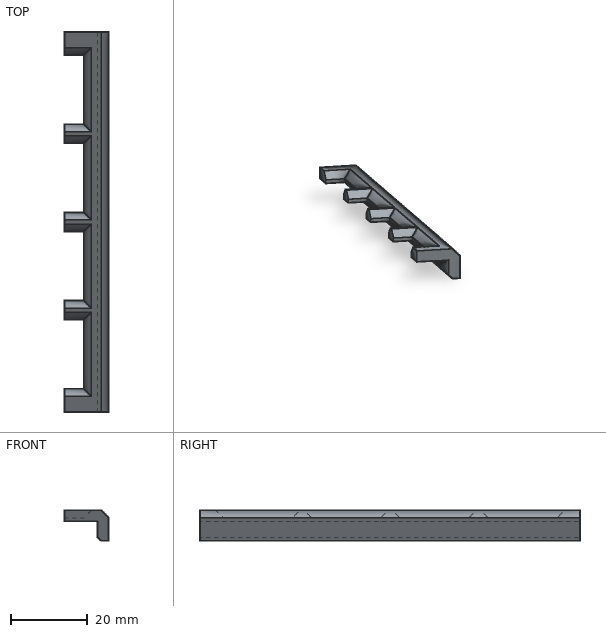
import cadquery as cq

length = 99.2
width = 11.6
height = 8.0

wall = 3.0
outer_chamfer = 2.0
foot_chamfer = 1.0

window_count = 4
window_length = 18.0
window_depth = 5.1
prong_width = 5.1
bevel = 2.0

left = -width / 2
right = width / 2
bottom = -height / 2
top = height / 2
leg_inner = right - wall
flange_underside = top - wall
flare_bottom = top - bevel
window_pitch = window_length + prong_width


def angle_bar():
    """Chamfered L-shaped bar running the full length along Y."""
    outline = [
        (left, top),
        (right - outer_chamfer, top),
        (right, top - outer_chamfer),
        (right, bottom),
        (leg_inner + foot_chamfer, bottom),
        (leg_inner, bottom + foot_chamfer),
        (leg_inner, flange_underside),
        (left, flange_underside),
    ]
    return cq.Workplane("XZ").polyline(outline).close().extrude(length / 2, both=True)


def window_cutter(center_y):
    """Straight opening with a flare that widens towards the top of the flange."""
    straight = (
        cq.Workplane("XY", origin=(left + window_depth / 2, center_y, flange_underside))
        .rect(window_depth, window_length)
        .extrude(wall)
    )
    side = [
        (left, flare_bottom),
        (left + window_depth, flare_bottom),
        (left + window_depth + bevel, top),
        (left, top),
    ]
    end = [
        (center_y - window_length / 2, flare_bottom),
        (center_y + window_length / 2, flare_bottom),
        (center_y + window_length / 2 + bevel, top),
        (center_y - window_length / 2 - bevel, top),
    ]
    side_prism = cq.Workplane("XZ").polyline(side).close().extrude(length, both=True)
    end_prism = cq.Workplane("YZ").polyline(end).close().extrude(width, both=True)
    return straight.union(side_prism.intersect(end_prism))


result = angle_bar()
for index in range(window_count):
    window_y = (index - (window_count - 1) / 2) * window_pitch
    result = result.cut(window_cutter(window_y))